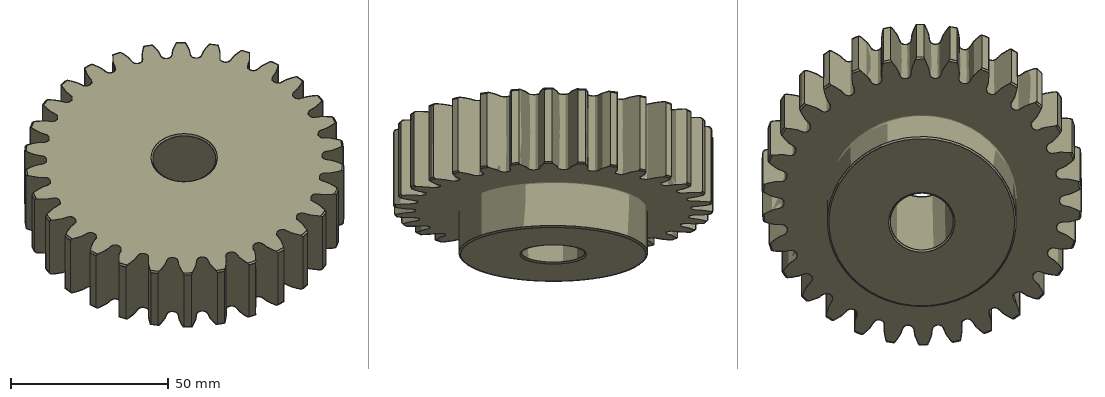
import cadquery as cq
import math


TEETH = 30
OUTSIDE_DIAMETER = 101.8
MODULE = OUTSIDE_DIAMETER / (TEETH + 2)
PRESSURE_ANGLE = math.radians(20)
TIP_RADIUS = OUTSIDE_DIAMETER / 2
PITCH_RADIUS = MODULE * TEETH / 2
BASE_RADIUS = PITCH_RADIUS * math.cos(PRESSURE_ANGLE)
DEDENDUM = 1.22 * MODULE
ROOT_RADIUS = PITCH_RADIUS - DEDENDUM
ROOT_ROUND = 1.9
TOOTH_PITCH = 2 * math.pi / TEETH
FLANK_STEPS = 3

GEAR_WIDTH = 25.0
HUB_LENGTH = 15.0
HUB_DIAMETER = 60.0
BORE_DIAMETER = 20.0
TOTAL_LENGTH = HUB_LENGTH + GEAR_WIDTH
EDGE_BREAK = 0.5


def involute_angle(radius):
    """Angle the involute has turned about the axis where it reaches the given radius."""
    roll = math.acos(BASE_RADIUS / radius)
    return math.tan(roll) - roll


def half_gap_angle(radius):
    """Angle from the middle of a tooth gap to its involute flank."""
    return TOOTH_PITCH / 4 + involute_angle(radius) - involute_angle(PITCH_RADIUS)


def polar(radius, angle):
    return radius * math.cos(angle), radius * math.sin(angle)


def flank_points(gap_angle, side):
    """Involute flank from the pitch circle out to the tip circle."""
    step = (TIP_RADIUS - PITCH_RADIUS) / FLANK_STEPS
    radii = [PITCH_RADIUS + i * step for i in range(FLANK_STEPS + 1)]
    return [polar(r, gap_angle + side * half_gap_angle(r)) for r in radii]


def gap_point(gap_angle, out, across):
    """Point given by its distances along and across the middle line of a gap."""
    x = out * math.cos(gap_angle) - across * math.sin(gap_angle)
    y = out * math.sin(gap_angle) + across * math.cos(gap_angle)
    return x, y


def root_points(gap_angle):
    """Points down one lower flank, around the root round and up to the other pitch point."""
    round_centre = ROOT_RADIUS + ROOT_ROUND
    diagonal = ROOT_ROUND * math.sqrt(0.5)
    return [
        gap_point(gap_angle, round_centre, -ROOT_ROUND),
        gap_point(gap_angle, round_centre - diagonal, -diagonal),
        gap_point(gap_angle, ROOT_RADIUS, 0),
        gap_point(gap_angle, round_centre - diagonal, diagonal),
        gap_point(gap_angle, round_centre, ROOT_ROUND),
        polar(PITCH_RADIUS, gap_angle + half_gap_angle(PITCH_RADIUS)),
    ]


def toothed_outline():
    """Closed outline of all teeth, drawn gap by gap with a tip arc after each gap."""
    tip_gap = half_gap_angle(TIP_RADIUS)
    outline = cq.Workplane("XY", origin=(0, 0, HUB_LENGTH)).moveTo(
        *polar(TIP_RADIUS, TOOTH_PITCH / 2 - tip_gap)
    )
    for i in range(TEETH):
        gap = (i + 0.5) * TOOTH_PITCH
        flank_in = flank_points(gap, -1)[::-1]
        flank_out = flank_points(gap, 1)
        next_flank = gap + TOOTH_PITCH - tip_gap
        outline = (
            outline.spline(flank_in[1:], includeCurrent=True)
            .spline(root_points(gap), includeCurrent=True)
            .spline(flank_out[1:], includeCurrent=True)
            .threePointArc(
                polar(TIP_RADIUS, gap + TOOTH_PITCH / 2),
                polar(TIP_RADIUS, next_flank),
            )
        )
    return outline.close()


def gear_rim():
    """Toothed disc whose tooth tips are turned back to a chamfer at both faces."""
    chamfered_blank = (
        cq.Workplane("XY", origin=(0, 0, HUB_LENGTH))
        .circle(TIP_RADIUS)
        .extrude(GEAR_WIDTH)
        .edges()
        .chamfer(EDGE_BREAK)
    )
    return toothed_outline().extrude(GEAR_WIDTH).intersect(chamfered_blank)


def hub():
    """Hub cylinder with a chamfered free end and a small fillet flaring out to the rim."""
    radius = HUB_DIAMETER / 2
    fillet_middle = EDGE_BREAK * (1 - math.sqrt(0.5))
    return (
        cq.Workplane("XZ")
        .lineTo(radius - EDGE_BREAK, 0)
        .lineTo(radius, EDGE_BREAK)
        .lineTo(radius, HUB_LENGTH - EDGE_BREAK)
        .threePointArc(
            (radius + fillet_middle, HUB_LENGTH - fillet_middle),
            (radius + EDGE_BREAK, HUB_LENGTH),
        )
        .lineTo(0, HUB_LENGTH)
        .close()
        .revolve(360, (0, 0, 0), (0, 1, 0))
    )


def bore():
    """Through bore with a chamfer at each end."""
    radius = BORE_DIAMETER / 2
    return (
        cq.Workplane("XZ")
        .lineTo(radius + EDGE_BREAK, 0)
        .lineTo(radius, EDGE_BREAK)
        .lineTo(radius, TOTAL_LENGTH - EDGE_BREAK)
        .lineTo(radius + EDGE_BREAK, TOTAL_LENGTH)
        .lineTo(0, TOTAL_LENGTH)
        .close()
        .revolve(360, (0, 0, 0), (0, 1, 0))
    )


result = gear_rim().union(hub()).cut(bore())